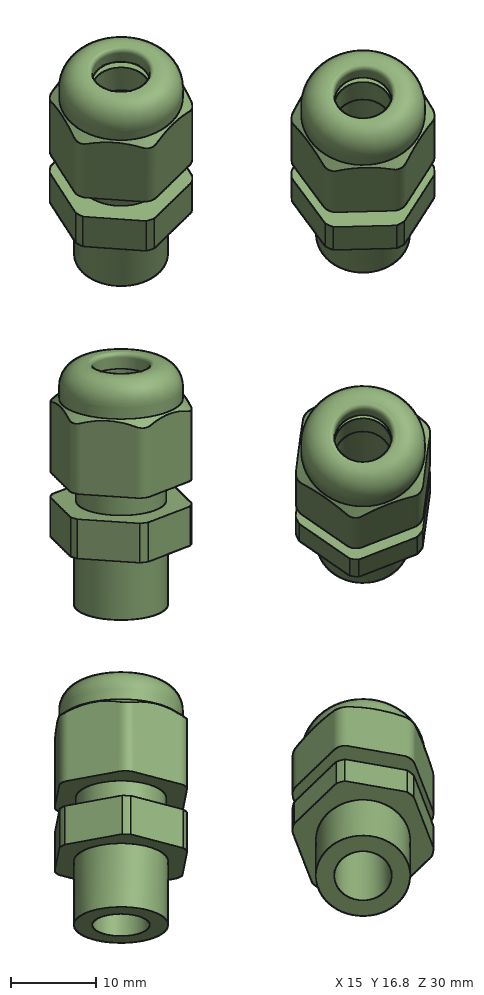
import cadquery as cq
import math

total_height = 30.0
across_flats = 15.0
bore_radius = 3.35
neck_radius = 5.3
half_flats = across_flats / 2
sharp_corner_radius = half_flats / math.cos(math.radians(30))

nut_bottom = 16.05
nut_corner_fillet = 1.77
collar_radius = 7.25
collar_bottom = 25.6
hex_chamfer_slope = 0.77
dome_radius = 2.9
mouth_fillet = 0.55
throat_bottom = 28.05
cavity_radius = 4.25

thread_radius = 5.52
body_hex_bottom = 8.05
body_hex_top = 12.93
neck_top = 23.4
tip_half_width = 0.25
tip_distance = 8.37
facet_half_width = 0.5
facet_distance = 8.35
corner_half_width = 0.72

seal_top = 27.12


def cylinder(radius, bottom, top):
    return cq.Workplane("XY").workplane(offset=bottom).circle(radius).extrude(top - bottom)


def make_nut():
    """Hex nut with rounded corners, a conical shoulder and a domed collar."""
    hexagon = (
        cq.Workplane("XY").workplane(offset=nut_bottom)
        .polygon(6, 2 * sharp_corner_radius)
        .extrude(collar_bottom - nut_bottom)
        .rotate((0, 0, 0), (0, 0, 1), 30)
        .edges("|Z").fillet(nut_corner_fillet)
    )
    cone_drop = hex_chamfer_slope * (sharp_corner_radius - collar_radius)
    shoulder = (
        cq.Workplane("XZ")
        .moveTo(0, nut_bottom)
        .lineTo(sharp_corner_radius, nut_bottom)
        .lineTo(sharp_corner_radius, collar_bottom - cone_drop)
        .lineTo(collar_radius, collar_bottom)
        .lineTo(0, collar_bottom)
        .close()
        .revolve(360, (0, 0, 0), (0, 1, 0))
    )
    dome = cylinder(collar_radius, collar_bottom, total_height).faces(">Z").edges().fillet(dome_radius)
    throat = cylinder(bore_radius, throat_bottom, total_height)
    cavity = cylinder(cavity_radius, neck_top, throat_bottom)
    neck_socket = cylinder(neck_radius, nut_bottom, neck_top)
    nut = hexagon.intersect(shoulder).union(dome).cut(throat).cut(cavity).cut(neck_socket)
    mouth = cq.selectors.RadiusNthSelector(0)
    return nut.faces(">Z").edges(mouth).fillet(mouth_fillet)


def faceted_hexagon_points():
    """Hexagon outline whose corners are each broken into five small facets."""
    corner_distance = sharp_corner_radius - corner_half_width * math.tan(math.radians(30))
    half_corner = [
        (corner_half_width, corner_distance),
        (facet_half_width, facet_distance),
        (tip_half_width, tip_distance),
    ]
    corner = half_corner + [(-x, y) for x, y in reversed(half_corner)]
    points = []
    for index in range(6):
        turn = math.radians(60 * index)
        for x, y in corner:
            points.append((
                x * math.cos(turn) - y * math.sin(turn),
                x * math.sin(turn) + y * math.cos(turn),
            ))
    return points


def make_body():
    """Threaded stem, faceted hex and neck in one piece, bored through."""
    stem = cylinder(thread_radius, 0, body_hex_bottom)
    hexagon = (
        cq.Workplane("XY").workplane(offset=body_hex_bottom)
        .polyline(faceted_hexagon_points()).close()
        .extrude(body_hex_top - body_hex_bottom)
    )
    neck = cylinder(neck_radius, body_hex_top, neck_top)
    bore = cylinder(bore_radius, 0, neck_top)
    return stem.union(hexagon).union(neck).cut(bore)


def make_seal():
    """Ring that stands on the neck and fills the nut cavity up to below the throat."""
    return cylinder(cavity_radius, neck_top, seal_top).cut(cylinder(bore_radius, neck_top, seal_top))


nut = make_nut()
body = make_body()
seal = make_seal()
result = cq.Compound.makeCompound([nut.val(), body.val(), seal.val()])